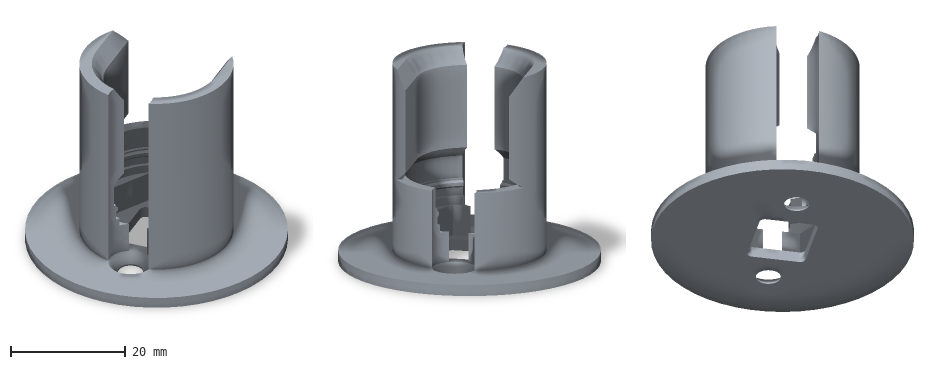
import cadquery as cq
import math

flange_diameter = 46.0
flange_thickness = 2.0

total_height = 36.0
tube_radius = 13.5

screw_offset = 12.0
screw_diameter = 4.4
screw_head_diameter = 7.8
countersink_angle = 90.0

window_width = 10.4
window_length = 12.3
window_corner_radius = 1.0

hex_across_flats = 17.0
hex_top = 7.5
ledge_radius = 10.1
ledge_top = 9.0
seat_radius = 10.8
seat_top = 12.0
chamber_radius = 11.35
chamber_top = 16.0

ridge_height = 0.4
ridge_center_z = 11.05
ridge_crest_width = 0.6
ridge_base_width = 1.3

neck_radius = 9.3
neck_bottom = 18.0
neck_flare_radius = 11.3
neck_flare_start = 33.0


def cylinder(radius, bottom, top):
    return cq.Workplane("XY").workplane(offset=bottom).circle(radius).extrude(top - bottom)


def body():
    flange = cylinder(flange_diameter / 2, 0, flange_thickness)
    return flange.union(cylinder(tube_radius, 0, total_height))


def floor_window():
    window = cq.Workplane("XY").rect(window_width, window_length).extrude(flange_thickness)
    return window.edges("|Z").fillet(window_corner_radius)


def hex_pocket():
    """Hexagonal socket with two flats facing +Y and -Y."""
    across_corners = hex_across_flats / math.cos(math.pi / 6)
    socket = cq.Workplane("XY").workplane(offset=flange_thickness)
    return socket.polygon(6, across_corners).extrude(hex_top - flange_thickness)


def stepped_bore():
    ledge = cylinder(ledge_radius, hex_top, ledge_top)
    seat = cylinder(seat_radius, ledge_top, seat_top)
    chamber = cylinder(chamber_radius, seat_top, chamber_top)
    return ledge.union(seat.cut(snap_ridge())).union(chamber)


def snap_ridge():
    """Ring of trapezoidal section standing in from the seat wall."""
    crest_radius = seat_radius - ridge_height
    section = [
        (seat_radius, ridge_center_z - ridge_base_width / 2),
        (crest_radius, ridge_center_z - ridge_crest_width / 2),
        (crest_radius, ridge_center_z + ridge_crest_width / 2),
        (seat_radius, ridge_center_z + ridge_base_width / 2),
    ]
    return cq.Workplane("XZ").polyline(section).close().revolve(360, (0, 0), (0, 1))


def neck_channel():
    """Round neck flared at both ends, swept straight out through the +Y side."""
    half_section = [
        (0, chamber_top),
        (chamber_radius, chamber_top),
        (neck_radius, neck_bottom),
        (neck_radius, neck_flare_start),
        (neck_flare_radius, total_height),
        (0, total_height),
    ]
    round_part = cq.Workplane("XZ").polyline(half_section).close().revolve(360, (0, 0), (0, 1))
    half_channel = cq.Workplane("XZ").polyline(half_section).close().extrude(-flange_diameter / 2)
    return round_part.union(half_channel).union(half_channel.mirror("YZ"))


def screw_hole(y):
    """Countersunk hole in the flange with a head-wide channel up the tube wall."""
    slope = math.tan(math.radians(countersink_angle / 2))
    sink_depth = (screw_head_diameter - screw_diameter) / 2 / slope
    sink_bottom = flange_thickness - sink_depth
    half_section = [
        (0, 0),
        (screw_diameter / 2, 0),
        (screw_diameter / 2, sink_bottom),
        (screw_head_diameter / 2, flange_thickness),
        (screw_head_diameter / 2, total_height),
        (0, total_height),
    ]
    cutter = cq.Workplane("XZ").polyline(half_section).close().revolve(360, (0, 0), (0, 1))
    return cutter.translate((0, y, 0))


result = body()
result = result.cut(floor_window())
result = result.cut(hex_pocket())
result = result.cut(stepped_bore())
result = result.cut(neck_channel())
for side in (-1, 1):
    result = result.cut(screw_hole(side * screw_offset))